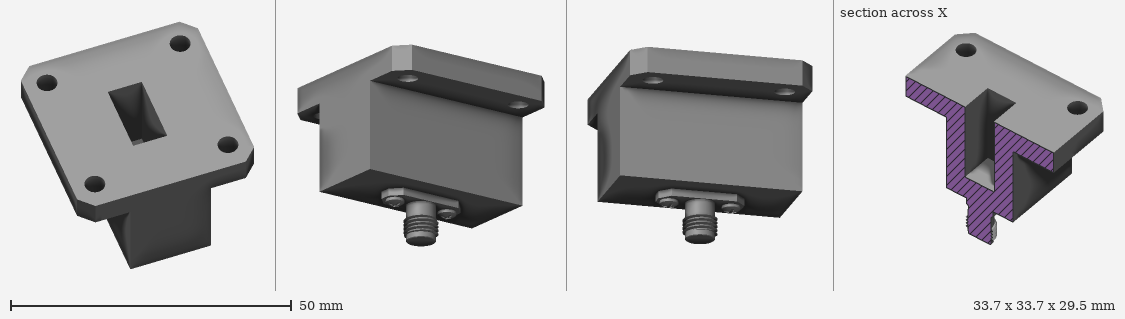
import cadquery as cq
import math

flange_side = 33.66
flange_thickness = 4.76
flange_corner_cut = 2.54
mount_hole_dia = 3.71
mount_hole_pitch_x = 24.33
mount_hole_pitch_y = 25.3

overall_height = 29.5
body_bottom = 8.1
body_height = overall_height - body_bottom
body_depth = 15.3
guide_width = 12.95
guide_height = 6.48
guide_depth = 16.5

plate_length = 15.88
plate_width = 6.02
plate_thickness = 1.36
plate_cut_x = 1.9
plate_cut_y = 2.0

barrel_dia = 5.33
barrel_end_chamfer = 0.13
flare_width = 0.06
flare_height = 0.27
thread_major_dia = 6.3
thread_pitch = 0.705
thread_flank_gap = 0.06
thread_turns = 6
helix_start = 0.36
thread_bottom = 1.06
thread_top = 4.0
thread_root_overlap = 0.1

screw_pitch = 11.44
screw_head_dia = 3.39
screw_head_height = 1.2
screw_rim_height = 0.55
screw_bevel_width = 0.06
screw_bevel_height = 0.27
recess_width = 0.6
recess_length = 2.6
recess_depth = 0.32

plate_bottom = body_bottom - plate_thickness


def make_flange():
    flange = (
        cq.Workplane("XY", origin=(0, 0, overall_height - flange_thickness))
        .rect(flange_side, flange_side)
        .extrude(flange_thickness)
        .edges("|Z")
        .chamfer(flange_corner_cut)
    )
    return (
        flange.faces(">Z")
        .workplane()
        .rarray(mount_hole_pitch_x, mount_hole_pitch_y, 2, 2)
        .hole(mount_hole_dia)
    )


def make_body():
    return (
        cq.Workplane("XY", origin=(0, 0, body_bottom))
        .rect(flange_side, body_depth)
        .extrude(body_height)
    )


def make_guide_opening():
    return (
        cq.Workplane("XY", origin=(0, 0, overall_height - guide_depth))
        .rect(guide_width, guide_height)
        .extrude(guide_depth)
    )


def make_plate():
    """Flat octagon with four equal slanted corners."""
    half_length = plate_length / 2
    half_width = plate_width / 2
    flat_x = half_length - plate_cut_x
    flat_y = half_width - plate_cut_y
    return (
        cq.Workplane("XY", origin=(0, 0, plate_bottom))
        .moveTo(-flat_x, half_width)
        .lineTo(flat_x, half_width)
        .lineTo(half_length, flat_y)
        .lineTo(half_length, -flat_y)
        .lineTo(flat_x, -half_width)
        .lineTo(-flat_x, -half_width)
        .lineTo(-half_length, -flat_y)
        .lineTo(-half_length, flat_y)
        .close()
        .extrude(plate_thickness)
    )


def make_barrel():
    """Round barrel, beveled at its tip and flared slightly where it meets the plate."""
    radius = barrel_dia / 2
    return (
        cq.Workplane("XZ")
        .lineTo(radius - barrel_end_chamfer, 0)
        .lineTo(radius, barrel_end_chamfer)
        .lineTo(radius, plate_bottom - flare_height)
        .lineTo(radius + flare_width, plate_bottom)
        .lineTo(0, plate_bottom)
        .close()
        .revolve(360, (0, 0, 0), (0, 1, 0))
    )


def make_thread():
    """Right-hand V thread around the barrel, trimmed flat at both ends."""
    root_radius = barrel_dia / 2 - thread_root_overlap
    crest_radius = thread_major_dia / 2
    half_base = (thread_pitch - thread_flank_gap) / 2
    helix = cq.Wire.makeHelix(thread_pitch, thread_pitch * thread_turns, barrel_dia / 2)
    profile = cq.Workplane("XZ").polyline(
        [
            (root_radius, -half_base),
            (crest_radius, 0),
            (root_radius, half_base),
        ]
    ).close()
    thread = profile.sweep(cq.Workplane(obj=helix), isFrenet=True)
    threaded_length = (
        cq.Workplane("XY", origin=(0, 0, thread_bottom))
        .circle(thread_major_dia)
        .extrude(thread_top - thread_bottom)
    )
    return thread.translate((0, 0, helix_start)).intersect(threaded_length)


def make_screw_head(x):
    """Domed head, hanging from the plate, with a cross recess."""
    radius = screw_head_dia / 2
    dome_height = screw_head_height - screw_rim_height
    dome_radius = (radius**2 + dome_height**2) / (2 * dome_height)
    half_angle = math.asin(radius / dome_radius) / 2
    dome_middle = (
        dome_radius * math.sin(half_angle),
        dome_radius * (1 - math.cos(half_angle)) - screw_head_height,
    )
    head = (
        cq.Workplane("XZ")
        .lineTo(radius - screw_bevel_width, 0)
        .lineTo(radius, -screw_bevel_height)
        .lineTo(radius, -screw_rim_height)
        .threePointArc(dome_middle, (0, -screw_head_height))
        .close()
        .revolve(360, (0, 0, 0), (0, 1, 0))
    )
    for length_x, length_y in ((recess_length, recess_width), (recess_width, recess_length)):
        slot = (
            cq.Workplane("XY", origin=(0, 0, -screw_head_height))
            .rect(length_x, length_y)
            .extrude(recess_depth)
        )
        head = head.cut(slot)
    return head.translate((x, 0, plate_bottom))


result = make_body().union(make_flange()).cut(make_guide_opening())
result = result.union(make_plate()).union(make_barrel()).union(make_thread())
for side in (-1, 1):
    result = result.union(make_screw_head(side * screw_pitch / 2))